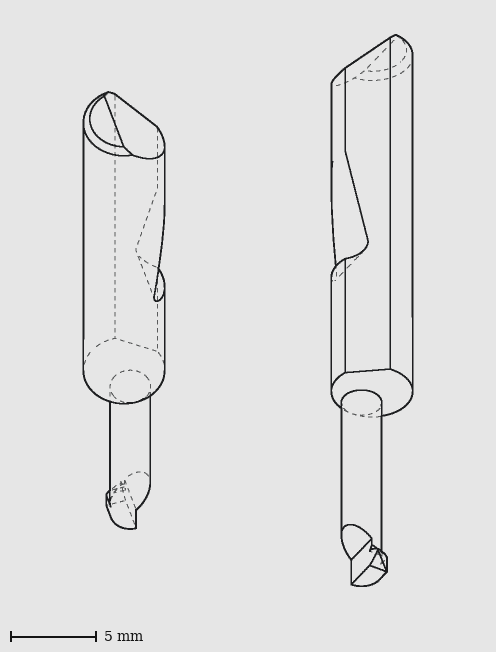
import cadquery as cq
import math

total_length = 38.1
shank_diameter = 4.75
shank_bottom = 12.73
shank_chamfer = 0.4
neck_diameter = 2.35
overlap = 0.4

shank_radius = shank_diameter / 2
neck_radius = neck_diameter / 2
neck_x = shank_radius - neck_radius

bevel_top_y = -0.6
bevel_bottom = 35.25

flat_distance = 2.0
flat_angle = 142.0

notch_taper_top = 29.95
notch_bottom = 21.2
notch_radius = 1.2

relief_top = 3.0
relief_bottom = relief_top - neck_radius

tooth_tip_x = -0.7
tooth_root_x = 0.25
tooth_height = 1.05
tip_land_bottom = 0.5
tip_land_top = 0.6
upper_shoulder_x = 0.05
lower_shoulder = (0.05, 0.08)
neck_undercut_top = 1.37


def side_prism(sketch):
    """Extrude a Y-Z outline through the whole shank along X."""
    return sketch.close().extrude(shank_radius + overlap, both=True)


def make_shank():
    shank = (
        cq.Workplane("XY", origin=(0, 0, shank_bottom))
        .circle(shank_radius)
        .extrude(total_length - shank_bottom)
        .faces(">Z")
        .chamfer(shank_chamfer)
    )
    return shank.cut(bevel_cutter()).cut(flat_cutter()).cut(notch_cutter())


def bevel_cutter():
    slope = (total_length - bevel_bottom) / (shank_radius - bevel_top_y)
    outer_y = shank_radius + overlap
    return side_prism(
        cq.Workplane("YZ")
        .moveTo(bevel_top_y - overlap, total_length + slope * overlap)
        .lineTo(outer_y, bevel_bottom - slope * overlap)
        .lineTo(outer_y, total_length + slope * overlap)
    )


def flat_cutter():
    return (
        cq.Workplane("XY")
        .box(shank_diameter, 2 * shank_diameter, total_length, centered=(False, True, False))
        .translate((flat_distance, 0, 0))
        .rotate((0, 0, 0), (0, 0, 1), flat_angle)
    )


def notch_cutter():
    floor_y = shank_radius - notch_radius
    arc_center_z = notch_bottom + notch_radius
    arc_reach = notch_radius * math.sqrt(0.5)
    return side_prism(
        cq.Workplane("YZ")
        .moveTo(shank_radius, notch_taper_top)
        .lineTo(floor_y, arc_center_z)
        .threePointArc(
            (shank_radius - arc_reach, arc_center_z - arc_reach),
            (shank_radius, notch_bottom),
        )
        .lineTo(shank_radius + overlap, notch_bottom)
        .lineTo(shank_radius + overlap, notch_taper_top)
    )


def make_neck():
    neck = (
        cq.Workplane("XY")
        .center(neck_x, 0)
        .circle(neck_radius)
        .extrude(shank_bottom + overlap)
    )
    relief = side_prism(
        cq.Workplane("YZ")
        .moveTo(0, -overlap)
        .lineTo(0, relief_bottom)
        .lineTo(neck_radius, relief_top)
        .lineTo(neck_radius + overlap, relief_top)
        .lineTo(neck_radius + overlap, -overlap)
    )
    undercut = (
        cq.Workplane("XZ")
        .polyline([
            (-overlap, -overlap),
            (-overlap, neck_undercut_top),
            (0, neck_undercut_top),
            (tooth_root_x, tooth_height),
            (tooth_root_x, -overlap),
        ])
        .close()
        .extrude(neck_radius + overlap)
    )
    return neck.cut(relief).cut(undercut)


def make_tooth():
    """Pointed profile running in -Y, trimmed by a slanted clearance face behind the tip."""
    profile = (
        cq.Workplane("XZ")
        .polyline([
            (tooth_tip_x, tip_land_bottom),
            (tooth_tip_x, tip_land_top),
            (upper_shoulder_x, tooth_height),
            (neck_x, tooth_height),
            (neck_x, 0),
            (tooth_root_x, 0),
            lower_shoulder,
        ])
        .close()
        .extrude(neck_radius)
    )
    plan = (
        cq.Workplane("XY")
        .polyline([
            (tooth_tip_x, 0),
            (tooth_root_x, -neck_radius),
            (neck_x, -neck_radius),
            (neck_x, 0),
        ])
        .close()
        .extrude(tooth_height)
    )
    return profile.intersect(plan)


result = make_shank().union(make_neck()).union(make_tooth())